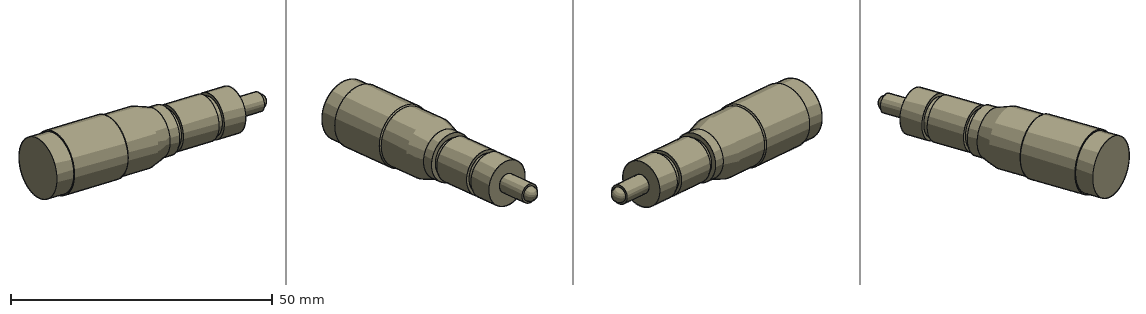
import cadquery as cq
import math

total_length = 53.7

rear_band_end = 4.0
grip_end = 16.6
body_end = 24.0
taper_end = 27.6
collar_end = 29.85
rear_groove_end = 31.0
middle_ring_end = 39.45
front_groove_end = 40.65
front_ring_end = 45.75
tip_start = 52.15

grip_radius = 13.0 / 2
body_radius = 12.45 / 2
collar_radius = 10.15 / 2
ring_radius = 9.45 / 2
groove_radius = 8.15 / 2
pin_radius = 4.0 / 2

chamfer_end = grip_end + grip_radius - body_radius

tip_radius = total_length - tip_start

shoulder_bulge = 0.05
shoulder_middle = (
    (body_radius + collar_radius) / 2 + shoulder_bulge,
    (body_end + taper_end) / 2,
)

rear_steps = [
    (body_radius, rear_band_end),
    (grip_radius, grip_end),
]
front_steps = [
    (groove_radius, rear_groove_end),
    (ring_radius, middle_ring_end),
    (groove_radius, front_groove_end),
    (ring_radius, front_ring_end),
    (pin_radius, tip_start),
]


def add_steps(profile, steps, start):
    """Draw each step radially to its radius, then along the axis to its end."""
    for radius, end in steps:
        profile = profile.lineTo(radius, start).lineTo(radius, end)
        start = end
    return profile


profile = cq.Workplane("XY").moveTo(0, 0)
profile = add_steps(profile, rear_steps, 0)
profile = profile.lineTo(body_radius, chamfer_end).lineTo(body_radius, body_end)
profile = profile.threePointArc(shoulder_middle, (collar_radius, taper_end))
profile = profile.lineTo(collar_radius, collar_end)
profile = add_steps(profile, front_steps, collar_end)

tip_middle = (
    tip_radius * math.sin(math.pi / 4),
    tip_start + tip_radius * math.cos(math.pi / 4),
)
profile = profile.lineTo(tip_radius, tip_start).threePointArc(tip_middle, (0, total_length)).close()

result = profile.revolve(360, (0, 0, 0), (0, 1, 0))